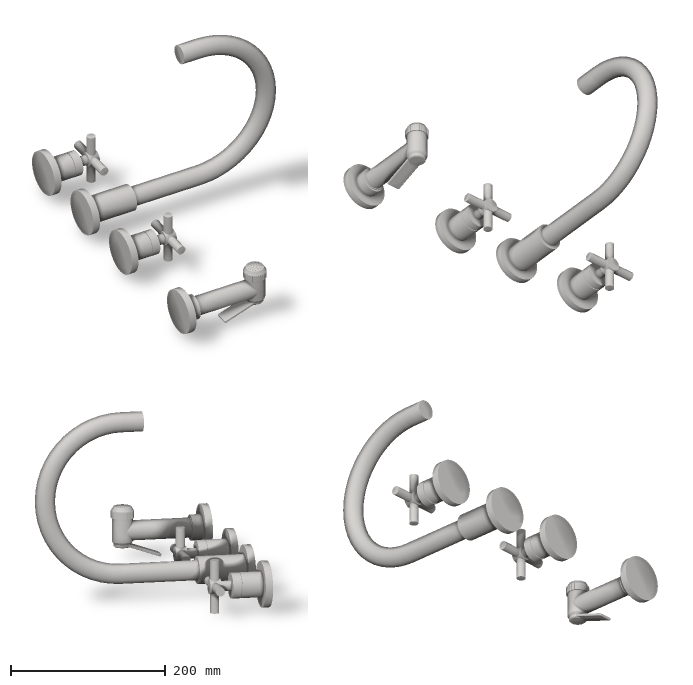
import cadquery as cq
import math


FLANGE_RADIUS = 30.5
FLANGE_THICKNESS = 9.5

VALVE_OFFSET = 101.5
SPRAY_X = 254.0

SLEEVE_RADIUS = 18.0
SLEEVE_END = 71.5
TUBE_RADIUS = 13.0
BEND_START = 172.5
BEND_RADIUS = 100.0
OUTLET_LENGTH = 28.0

BARREL_RADIUS = 17.0
VALVE_END = 37.5
GROOVE_WIDTH = 1.3
GROOVE_DEPTH = 1.3
SKIRT_END = 49.5
NECK_RADIUS = 6.7
BAR_LENGTH = 70.0
BAR_RADIUS = 6.0
BAR_Y = 70.5
HUB_RADIUS = 9.5
HUB_LENGTH = 15.0

COLLAR_RADIUS = 17.0
COLLAR_END = 25.0
LIP_RADIUS = 14.5
LIP_HEIGHT = 1.3

HEAD_Y = 113.0
HEAD_RADIUS = 13.5
HEAD_TAPER_START = -14.0
CAP_RADIUS = 11.5
CAP_TOP = -17.0
CAP_BOTTOM = -21.0
CAP_CHAMFER = 1.3
RING_RADIUS = 15.0
RING_BOTTOM = 17.5
RING_TOP = 27.0
SHOULDER_RADIUS = 14.0
SHOULDER_Z = 28.5
FACE_RADIUS = 11.8
FACE_EDGE_Z = 32.5
FACE_TOP_Z = 34.0

NOTCH_COUNT = 36
NOTCH_WIDTH = 1.3
NOTCH_DEPTH = 0.65
NOZZLE_RADIUS = 0.65
NOZZLE_DEPTH = 2.5
NOZZLE_RINGS = [(3.8, 6), (6.7, 10), (9.3, 16)]

LEVER_WIDTH = 19.5
LEVER_THICKNESS = 3.5
LEVER_ROOT_Y = 109.5
LEVER_ROOT_Z = -15.5
LEVER_TIP_Y = 63.0
LEVER_TIP_Z = -31.5
LEVER_CORNER_RADIUS = 1.5
LEVER_EDGE_RADIUS = 1.0


def rod(radius, start, end, x=0):
    """Cylinder along Y from start to end, on the axis through X = x, Z = 0."""
    return cq.Workplane("XZ", origin=(x, start, 0)).circle(radius).extrude(start - end)


def flange(x):
    return rod(FLANGE_RADIUS, 0, FLANGE_THICKNESS, x)


def make_spout():
    """Flange, sleeve and gooseneck tube whose outlet turns back toward the mounting plane."""
    outlet_z = 2 * BEND_RADIUS
    path = (
        cq.Workplane("YZ")
        .moveTo(FLANGE_THICKNESS, 0)
        .lineTo(BEND_START, 0)
        .threePointArc((BEND_START + BEND_RADIUS, BEND_RADIUS), (BEND_START, outlet_z))
        .lineTo(BEND_START - OUTLET_LENGTH, outlet_z)
    )
    tube = cq.Workplane("XZ", origin=(0, FLANGE_THICKNESS, 0)).circle(TUBE_RADIUS).sweep(path)
    sleeve = rod(SLEEVE_RADIUS, FLANGE_THICKNESS, SLEEVE_END)
    return flange(0).union(sleeve).union(tube)


def make_valve_body(x):
    return flange(x).union(rod(BARREL_RADIUS, FLANGE_THICKNESS, VALVE_END, x))


def make_cross_handle(x):
    """Skirt standing on the valve body, with a neck, a hub and two crossed bars."""
    skirt_start = VALVE_END + GROOVE_WIDTH
    journal = rod(BARREL_RADIUS - GROOVE_DEPTH, VALVE_END, skirt_start, x)
    skirt = rod(BARREL_RADIUS, skirt_start, SKIRT_END, x)
    neck = rod(NECK_RADIUS, SKIRT_END, BAR_Y, x)
    hub = rod(HUB_RADIUS, BAR_Y - HUB_LENGTH / 2, BAR_Y + HUB_LENGTH / 2, x)
    center = (x, BAR_Y, 0)
    level_bar = cq.Workplane("YZ", origin=center).circle(BAR_RADIUS).extrude(BAR_LENGTH / 2, both=True)
    upright_bar = cq.Workplane("XY", origin=center).circle(BAR_RADIUS).extrude(BAR_LENGTH / 2, both=True)
    return journal.union(skirt).union(neck).union(hub).union(level_bar).union(upright_bar)


def spray_head():
    """Turned head with a grip ring, a domed spray face on top and a small cap below."""
    dome_rise = FACE_TOP_Z - FACE_EDGE_Z
    dome_radius = (FACE_RADIUS**2 + dome_rise**2) / (2 * dome_rise)
    mid_radius = FACE_RADIUS / 2
    mid_z = FACE_TOP_Z - dome_radius + math.sqrt(dome_radius**2 - mid_radius**2)
    return (
        cq.Workplane("XZ", origin=(SPRAY_X, HEAD_Y, 0))
        .moveTo(0, CAP_BOTTOM)
        .lineTo(CAP_RADIUS - CAP_CHAMFER, CAP_BOTTOM)
        .lineTo(CAP_RADIUS, CAP_BOTTOM + CAP_CHAMFER)
        .lineTo(CAP_RADIUS, CAP_TOP)
        .lineTo(HEAD_RADIUS, HEAD_TAPER_START)
        .lineTo(HEAD_RADIUS, RING_BOTTOM)
        .lineTo(RING_RADIUS, RING_BOTTOM)
        .lineTo(RING_RADIUS, RING_TOP)
        .lineTo(SHOULDER_RADIUS, SHOULDER_Z)
        .lineTo(FACE_RADIUS, FACE_EDGE_Z)
        .threePointArc((mid_radius, mid_z), (0, FACE_TOP_Z))
        .close()
        .revolve(360, (0, 0, 0), (0, 1, 0))
    )


def grip_notches():
    """Upright slots cut into the grip ring."""
    return (
        cq.Workplane("XY", origin=(SPRAY_X, HEAD_Y, RING_BOTTOM))
        .polarArray(RING_RADIUS, 0, 360, NOTCH_COUNT)
        .rect(2 * NOTCH_DEPTH, NOTCH_WIDTH)
        .extrude(SHOULDER_Z - RING_BOTTOM)
    )


def nozzle_holes():
    """Blind holes in the spray face: one in the center and rings around it."""
    face = cq.Workplane("XY", origin=(SPRAY_X, HEAD_Y, FACE_TOP_Z))
    holes = face.circle(NOZZLE_RADIUS).extrude(-NOZZLE_DEPTH)
    for ring_radius, count in NOZZLE_RINGS:
        ring = face.polarArray(ring_radius, 0, 360, count).circle(NOZZLE_RADIUS)
        holes = holes.union(ring.extrude(-NOZZLE_DEPTH))
    return holes


def spray_lever():
    """Flat bar; its upper face runs from the root point to the tip point."""
    run = LEVER_ROOT_Y - LEVER_TIP_Y
    drop = LEVER_ROOT_Z - LEVER_TIP_Z
    length = math.hypot(run, drop)
    slope = math.degrees(math.atan2(drop, run))
    return (
        cq.Workplane("XY")
        .box(LEVER_WIDTH, length, LEVER_THICKNESS, centered=(True, False, False))
        .edges("|Z and <Y")
        .fillet(LEVER_CORNER_RADIUS)
        .faces("<Z or >Z")
        .edges()
        .fillet(LEVER_EDGE_RADIUS)
        .translate((0, 0, -LEVER_THICKNESS))
        .rotate((0, 0, 0), (1, 0, 0), slope)
        .translate((SPRAY_X, LEVER_TIP_Y, LEVER_TIP_Z))
    )


def make_spray():
    collar = rod(COLLAR_RADIUS, FLANGE_THICKNESS, COLLAR_END - LIP_HEIGHT, SPRAY_X)
    lip = rod(LIP_RADIUS, COLLAR_END - LIP_HEIGHT, COLLAR_END, SPRAY_X)
    arm = rod(TUBE_RADIUS, COLLAR_END, HEAD_Y, SPRAY_X)
    head = spray_head().cut(grip_notches()).cut(nozzle_holes())
    return flange(SPRAY_X).union(collar).union(lip).union(arm).union(head).union(spray_lever())


spout = make_spout()
spray = make_spray()
valve_bodies = []
cross_handles = []
for valve_x in (-VALVE_OFFSET, VALVE_OFFSET):
    valve_bodies.append(make_valve_body(valve_x).val())
    cross_handles.append(make_cross_handle(valve_x).val())

result = cq.Compound.makeCompound([spout.val(), spray.val(), *valve_bodies, *cross_handles])